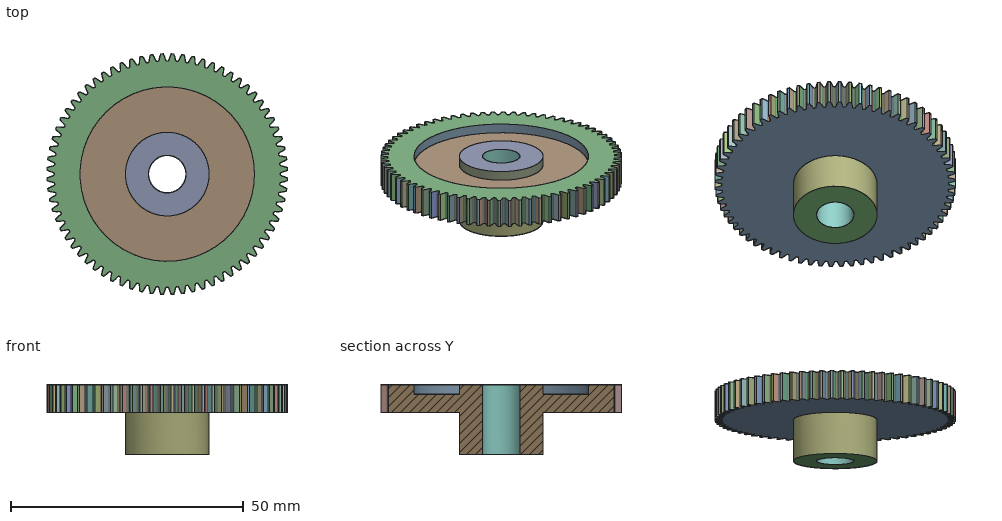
import cadquery as cq
import math

MODULE = 0.7
TEETH = 72
PRESSURE_ANGLE = math.radians(20)
ADDENDUM = MODULE
DEDENDUM = 1.25 * MODULE
ROOT_FILLET = 0.38 * MODULE
FLANK_POINTS = 5

GEAR_WIDTH = 6.0
HUB_LENGTH = 9.0
HUB_DIAMETER = 18.0
BORE_DIAMETER = 8.0
RECESS_DIAMETER = 37.5
RECESS_DEPTH = 2.0

PITCH_RADIUS = MODULE * TEETH / 2
BASE_RADIUS = PITCH_RADIUS * math.cos(PRESSURE_ANGLE)
TIP_RADIUS = PITCH_RADIUS + ADDENDUM
ROOT_RADIUS = PITCH_RADIUS - DEDENDUM
TOOTH_PITCH = 2 * math.pi / TEETH
FILLET_CENTRE_RADIUS = ROOT_RADIUS + ROOT_FILLET
FILLET_TANGENT = math.sqrt(FILLET_CENTRE_RADIUS ** 2 - BASE_RADIUS ** 2)
FLANK_START_RADIUS = math.hypot(BASE_RADIUS, FILLET_TANGENT - ROOT_FILLET)
TOTAL_HEIGHT = HUB_LENGTH + GEAR_WIDTH


def polar(radius, angle):
    return (radius * math.cos(angle), radius * math.sin(angle))


def involute(pressure_angle):
    return math.tan(pressure_angle) - pressure_angle


def tooth_half_angle(radius):
    """Half of the angle one tooth spans at the given radius."""
    local_pressure_angle = math.acos(BASE_RADIUS / radius)
    return TOOTH_PITCH / 4 + involute(PRESSURE_ANGLE) - involute(local_pressure_angle)


def root_land_half_angle():
    """Half of the angle of the plain root arc left between the two fillets of a gap."""
    fillet_centre_offset = tooth_half_angle(FILLET_CENTRE_RADIUS) + ROOT_FILLET / BASE_RADIUS
    return TOOTH_PITCH / 2 - fillet_centre_offset


def flank_radii():
    """Radii from the root fillet out to the tooth tip."""
    step = (TIP_RADIUS - FLANK_START_RADIUS) / (FLANK_POINTS - 1)
    return [FLANK_START_RADIUS + i * step for i in range(FLANK_POINTS)]


def add_tooth(outline, gap_angle):
    """Continue the outline over one gap bottom and the tooth that follows it."""
    tooth_angle = gap_angle + TOOTH_PITCH / 2
    rising = [polar(r, tooth_angle - tooth_half_angle(r)) for r in flank_radii()]
    falling = [polar(r, tooth_angle + tooth_half_angle(r)) for r in reversed(flank_radii())]
    land_start = polar(ROOT_RADIUS, gap_angle - root_land_half_angle())
    land_end = polar(ROOT_RADIUS, gap_angle + root_land_half_angle())
    outline = outline.radiusArc(land_start, ROOT_FILLET)
    outline = outline.threePointArc(polar(ROOT_RADIUS, gap_angle), land_end)
    outline = outline.radiusArc(rising[0], ROOT_FILLET)
    outline = outline.spline(rising[1:], includeCurrent=True)
    outline = outline.threePointArc(polar(TIP_RADIUS, tooth_angle), falling[0])
    return outline.spline(falling[1:], includeCurrent=True)


def make_toothed_disc():
    """Solid gear disc with a tooth gap centred on the +X axis."""
    last_tooth_angle = -TOOTH_PITCH / 2
    start = polar(FLANK_START_RADIUS, last_tooth_angle + tooth_half_angle(FLANK_START_RADIUS))
    outline = cq.Workplane("XY", origin=(0, 0, HUB_LENGTH)).moveTo(*start)
    for i in range(TEETH):
        outline = add_tooth(outline, i * TOOTH_PITCH)
    return outline.close().extrude(GEAR_WIDTH)


def make_recess():
    """Round pocket in the top face, around the hub."""
    floor = cq.Workplane("XY", origin=(0, 0, TOTAL_HEIGHT - RECESS_DEPTH))
    return floor.circle(RECESS_DIAMETER / 2).extrude(RECESS_DEPTH)


def make_hub():
    """Hub running from the bottom end up to the top face of the gear."""
    return cq.Workplane("XY").circle(HUB_DIAMETER / 2).extrude(TOTAL_HEIGHT)


def make_bore():
    return cq.Workplane("XY").circle(BORE_DIAMETER / 2).extrude(TOTAL_HEIGHT)


result = make_toothed_disc().cut(make_recess()).union(make_hub()).cut(make_bore())